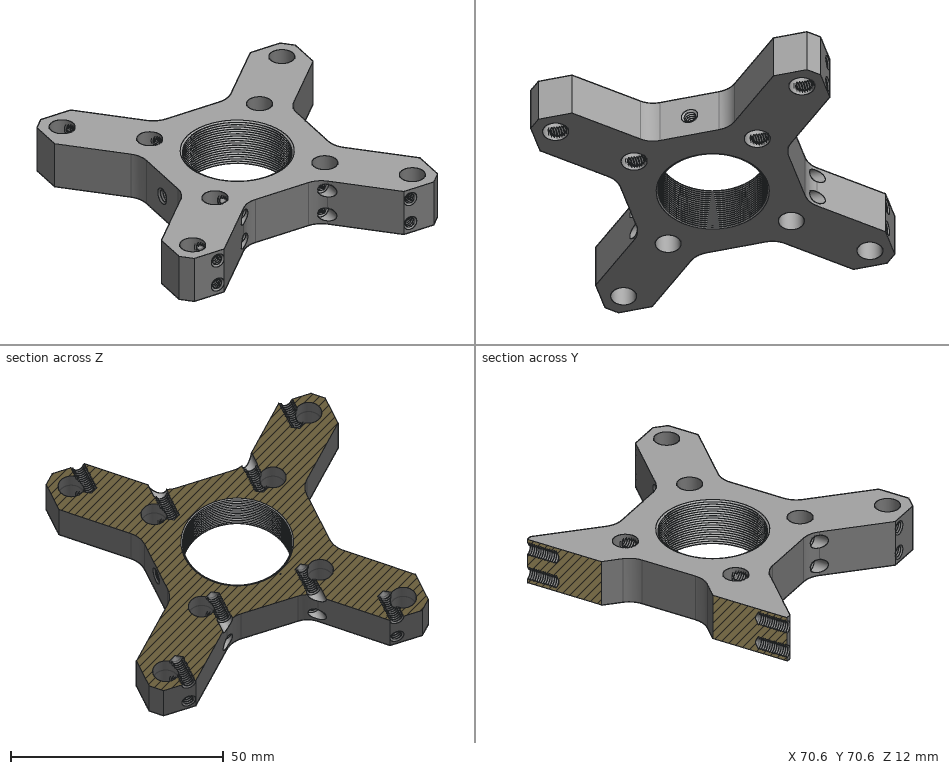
import cadquery as cq
import math

thickness = 12.0
outer_side = 70.61
hub_side = 41.0
arm_width = 15.24
tip_chamfer = 2.6
root_radius = 6.0

rod_diameter = 6.1
inner_rod_spacing = 30.0
outer_rod_spacing = 60.0

groove_depth_per_pitch = math.sqrt(3) / 2
drill_point_angle = 118.0

bore_diameter = 26.8
bore_pitch = 0.635

mount_diameter = 4.0
mount_pitch = 0.7
mount_pitches = 8

clamp_diameter = 3.5
clamp_pitch = 0.6
clamp_offset = 3.7
clamp_height = 3.33
clamp_overrun = 2.0
inner_clamp_thread_start = 20.0
clamp_clearance_length = 4.5

half_outer = outer_side / 2
half_hub = hub_side / 2
signs = (-1, 1)


def prism(sketch):
    """Extrude a sketch over the plate thickness, centred on Z = 0."""
    return sketch.extrude(thickness / 2, both=True)


def make_hub_and_arms():
    """Square hub with diagonal arms trimmed to the chamfered outer square."""
    hub = prism(cq.Workplane("XY").rect(hub_side, hub_side))
    trim = prism(cq.Workplane("XY").rect(outer_side, outer_side))
    trim = trim.edges("|Z").chamfer(tip_chamfer)
    for angle in (45, 135):
        bar = prism(cq.Workplane("XY").rect(2 * outer_side, arm_width))
        bar = bar.rotate((0, 0, 0), (0, 0, 1), angle)
        hub = hub.union(bar.intersect(trim))
    return hub


def round_arm_roots(body):
    """Fillet the eight inside corners where the arms leave the hub."""
    reach = (half_hub + half_outer) / 2
    hub_zone = cq.selectors.BoxSelector((-reach, -reach, -thickness), (reach, reach, thickness))
    return body.edges("|Z").edges(hub_zone).fillet(root_radius)


def thread_cutter(diameter, pitch, pitches, pointed):
    """Threaded hole along +Z, full diameter at Z = 0, with an optional drill point."""
    major_radius = diameter / 2
    minor_radius = major_radius - groove_depth_per_pitch * pitch
    profile = cq.Workplane("XZ").lineTo(major_radius, 0)
    for index in range(pitches):
        profile = profile.lineTo(minor_radius, (index + 0.5) * pitch)
        profile = profile.lineTo(major_radius, (index + 1) * pitch)
    end = (pitches + 0.5) * pitch
    profile = profile.lineTo(minor_radius, end)
    if pointed:
        end += minor_radius / math.tan(math.radians(drill_point_angle / 2))
    return profile.lineTo(0, end).close().revolve(360, (0, 0, 0), (0, 1, 0))


def cut_rod_holes(body):
    for spacing in (inner_rod_spacing, outer_rod_spacing):
        corners = cq.Workplane("XY").rect(spacing, spacing, forConstruction=True).vertices()
        body = body.cut(prism(corners.circle(rod_diameter / 2)))
    return body


def cut_bore(body):
    """Threaded bore, full diameter at the top face."""
    cutter = thread_cutter(bore_diameter, bore_pitch, math.ceil(thickness / bore_pitch), False)
    cutter = cutter.rotate((0, 0, 0), (1, 0, 0), 180)
    return body.cut(cutter.translate((0, 0, thickness / 2)), clean=False)


def cut_mounting_hole(body):
    cutter = thread_cutter(mount_diameter, mount_pitch, mount_pitches, True)
    cutter = cutter.rotate((0, 0, 0), (1, 0, 0), -90)
    return body.cut(cutter.translate((0, -half_hub, 0)), clean=False)


def clamp_cutter(rod_place, thread_start):
    """Clamping hole along +X: plain from the outer face to its thread, ending past the rod."""
    pitches = math.ceil((thread_start - rod_place + clamp_overrun) / clamp_pitch)
    cutter = thread_cutter(clamp_diameter, clamp_pitch, pitches, True)
    if thread_start < half_outer:
        clearance = cq.Workplane("XY").circle(clamp_diameter / 2)
        cutter = cutter.union(clearance.extrude(-clamp_clearance_length))
    return cutter.rotate((0, 0, 0), (0, 1, 0), 90).translate((-thread_start, 0, 0))


def cut_clamp_holes(body):
    """Pairs of holes, one above the other, beside every rod hole and entering from both X sides."""
    rows = (
        (inner_rod_spacing, inner_clamp_thread_start),
        (outer_rod_spacing, half_outer),
    )
    for spacing, thread_start in rows:
        rod_place = spacing / 2
        hole_place = rod_place - clamp_offset
        cutter = clamp_cutter(rod_place, thread_start)
        for turn in (0, 180):
            turned = cutter.rotate((0, 0, 0), (0, 0, 1), turn)
            for y_sign in signs:
                for z_sign in signs:
                    place = (0, y_sign * hole_place, z_sign * clamp_height)
                    body = body.cut(turned.translate(place), clean=False)
    return body


plate = round_arm_roots(make_hub_and_arms())
plate = cut_rod_holes(plate)
plate = cut_bore(plate)
plate = cut_mounting_hole(plate)
result = cut_clamp_holes(plate)